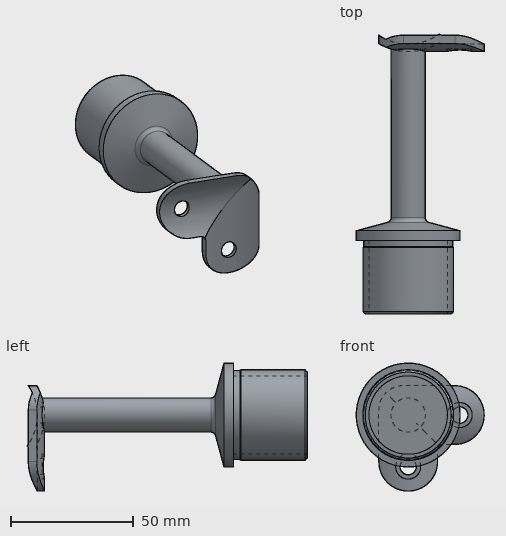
import cadquery as cq
import math


rail_radius = 21.2
plate_thickness = 3.0
rail_bottom_y = 80.0
rail_axis_y = rail_bottom_y + rail_radius
plate_outer_radius = rail_radius + plate_thickness
arm_half_width = 12.0
arm_reach = 31.0
outer_corner_radius = 10.0
inner_corner_radius = 2.0

hole_offset = 21.0
hole_diameter = 6.6
counterbore_diameter = 10.2
counterbore_depth = 1.0

flange_radius = rail_radius
flange_thickness = 4.0
cone_angle = 15.0
stem_radius = 7.0
stem_fillet_radius = 2.0

sleeve_radius = 18.5
sleeve_length = 30.0
sleeve_bore_radius = 16.0
sleeve_end_chamfer = 1.0
relief_radius = 18.2
relief_length = 2.5
relief_taper_length = 0.4


def cylinder_along_y(x, z, radius, y_start, y_end):
    base_center = cq.Vector(x, y_start, z)
    return cq.Workplane(cq.Solid.makeCylinder(radius, y_end - y_start, base_center, cq.Vector(0, 1, 0)))


def cylinder_along_rail(radius):
    """Long cylinder on the axis of the X-direction rail."""
    length = 4 * arm_reach
    base_center = cq.Vector(-length / 2, rail_axis_y, 0)
    return cq.Workplane(cq.Solid.makeCylinder(radius, length, base_center, cq.Vector(1, 0, 0)))


def make_post():
    """Sleeve, flange, cone and stem as one revolved profile, with the sleeve bored out."""
    slope = math.radians(cone_angle)
    fillet_center_r = stem_radius + stem_fillet_radius
    cone_end_r = fillet_center_r - stem_fillet_radius * math.sin(slope)
    cone_end_y = flange_thickness + (flange_radius - cone_end_r) * math.tan(slope)
    fillet_center_y = cone_end_y + stem_fillet_radius * math.cos(slope)
    mid_angle = (math.pi / 2 - slope) / 2
    fillet_mid = (
        fillet_center_r - stem_fillet_radius * math.cos(mid_angle),
        fillet_center_y - stem_fillet_radius * math.sin(mid_angle),
    )

    profile = (
        cq.Workplane("XY")
        .moveTo(0, -sleeve_length)
        .lineTo(sleeve_radius - sleeve_end_chamfer, -sleeve_length)
        .lineTo(sleeve_radius, -sleeve_length + sleeve_end_chamfer)
        .lineTo(sleeve_radius, -relief_length - relief_taper_length)
        .lineTo(relief_radius, -relief_length)
        .lineTo(relief_radius, 0)
        .lineTo(flange_radius, 0)
        .lineTo(flange_radius, flange_thickness)
        .lineTo(cone_end_r, cone_end_y)
        .threePointArc(fillet_mid, (stem_radius, fillet_center_y))
        .lineTo(stem_radius, rail_bottom_y)
        .lineTo(0, rail_bottom_y)
        .close()
    )
    post = profile.revolve(360, (0, 0, 0), (0, 1, 0))
    return post.cut(cylinder_along_y(0, 0, sleeve_bore_radius, -sleeve_length, 0))


def make_plate_outline():
    """L-shaped prism with round arm ends, arms along +X and -Z, up to the rail axis."""
    half = arm_half_width
    arc_start = arm_reach - half
    inner_tangent = half + inner_corner_radius
    outer_tangent = half - outer_corner_radius
    return (
        cq.Workplane("XZ", origin=(0, rail_axis_y, 0))
        .moveTo(-outer_tangent, half)
        .lineTo(arc_start, half)
        .threePointArc((arm_reach, 0), (arc_start, -half))
        .lineTo(inner_tangent, -half)
        .radiusArc((half, -inner_tangent), -inner_corner_radius)
        .lineTo(half, -arc_start)
        .threePointArc((0, -arm_reach), (-half, -arc_start))
        .lineTo(-half, outer_tangent)
        .radiusArc((-outer_tangent, half), outer_corner_radius)
        .close()
        .extrude(plate_outer_radius)
    )


def make_plate():
    """Saddle plate: the X arm, curved round its rail, and its mirror image across the miter."""
    span = 2 * arm_reach
    miter_half = (
        cq.Workplane("XZ", origin=(0, rail_axis_y, 0))
        .polyline([(-span, span), (span, -span), (span, span)])
        .close()
        .extrude(plate_outer_radius)
    )
    x_arm = (
        make_plate_outline()
        .intersect(miter_half)
        .intersect(cylinder_along_rail(plate_outer_radius))
        .cut(cylinder_along_rail(rail_radius))
    )
    z_arm = x_arm.mirror(cq.Vector(1, 0, 1))
    return x_arm.union(z_arm)


def cut_screw_hole(body, x, z):
    """Through hole with a flat counterbore on the flange side of the plate."""
    crown_y = rail_bottom_y - plate_thickness
    floor_y = crown_y + counterbore_depth
    hole = cylinder_along_y(x, z, hole_diameter / 2, crown_y, rail_axis_y)
    counterbore = cylinder_along_y(x, z, counterbore_diameter / 2, crown_y, floor_y)
    return body.cut(hole).cut(counterbore)


result = make_post().union(make_plate())
for hole_x, hole_z in [(hole_offset, 0), (0, -hole_offset)]:
    result = cut_screw_hole(result, hole_x, hole_z)